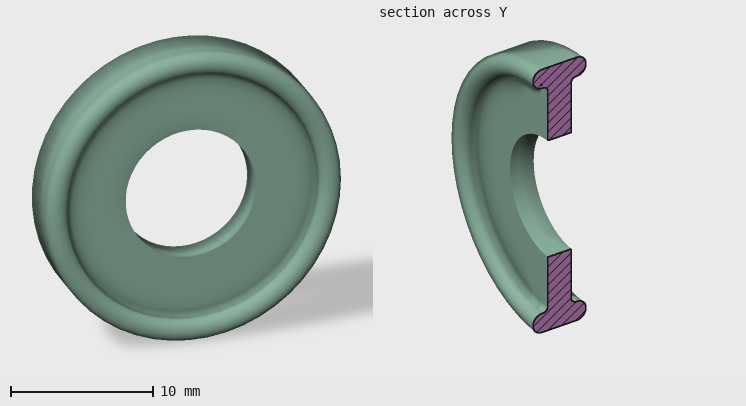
import cadquery as cq
import math

width = 4.5
outer_radius = 21.8 / 2
rim_inner_radius = 18.6 / 2
bore_radius = 9.6 / 2
web_thickness = 2.0
floor_fillet = 0.4

rim_round = (outer_radius - rim_inner_radius) / 2
rim_mid_radius = (outer_radius + rim_inner_radius) / 2

rim_x = width / 2
round_start_x = rim_x - rim_round
web_x = web_thickness / 2

floor_radius = rim_inner_radius - floor_fillet
fillet_mid_offset = floor_fillet * (1 - math.sqrt(0.5))


def turned_blank():
    """Full-width disc with the bore and both rim edges rounded over."""
    profile = (
        cq.Workplane("XY")
        .moveTo(-round_start_x, bore_radius)
        .lineTo(round_start_x, bore_radius)
        .lineTo(round_start_x, rim_inner_radius)
        .threePointArc((rim_x, rim_mid_radius), (round_start_x, outer_radius))
        .lineTo(-round_start_x, outer_radius)
        .threePointArc((-rim_x, rim_mid_radius), (-round_start_x, rim_inner_radius))
        .close()
    )
    return profile.revolve(360, (0, 0, 0), (1, 0, 0))


def recess(side):
    """Cutter for the filleted recess inside the rim; side is +1 or -1 along X."""
    floor_x = side * web_x
    fillet_end_x = side * (web_x + floor_fillet)
    fillet_mid = (side * (web_x + fillet_mid_offset), rim_inner_radius - fillet_mid_offset)
    profile = (
        cq.Workplane("XY")
        .moveTo(floor_x, 0)
        .lineTo(floor_x, floor_radius)
        .threePointArc(fillet_mid, (fillet_end_x, rim_inner_radius))
        .lineTo(side * rim_x, rim_inner_radius)
        .lineTo(side * rim_x, 0)
        .close()
    )
    return profile.revolve(360, (0, 0, 0), (1, 0, 0))


result = turned_blank()
for side in (-1, 1):
    result = result.cut(recess(side))